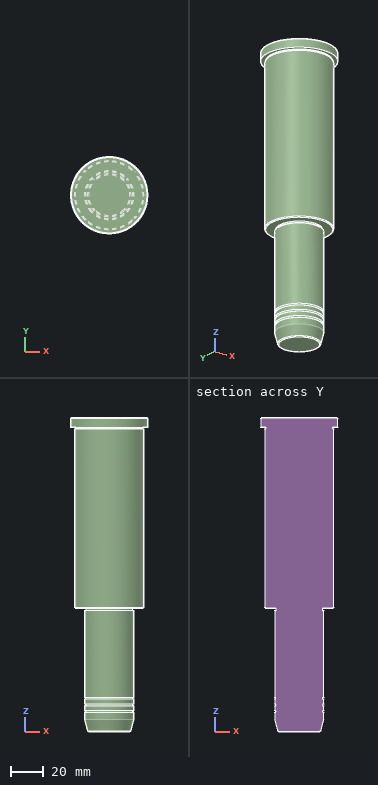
import cadquery as cq
import math

total_length = 191.0
head_height = 6.0
pin_length = 75.0
lead_in_length = 7.5

head_radius = 23.5
body_radius = 21.0
pin_diameter = 30.0
pin_radius = pin_diameter / 2
lead_in_angle = 15.0

head_relief_straight = 0.5
neck_height = 1.3
neck_depth = 0.8
head_chamfer = 0.5
body_chamfer = 0.5
tip_chamfer = 0.5

groove_count = 3
first_groove_z = 12.5
groove_pitch = 4.0
groove_radius = 0.5

head_bottom = total_length - head_height


def cylinder(radius, bottom, top):
    return cq.Workplane("XY").workplane(offset=bottom).circle(radius).extrude(top - bottom)


def ring_cut(outer_radius, depth, bottom, height):
    """Ring that removes a shallow groove from a cylinder."""
    top = bottom + height
    return cylinder(outer_radius, bottom, top).cut(cylinder(outer_radius - depth, bottom, top))


def round_groove(center_z):
    """Torus centred on the pin surface, which cuts a half-round groove."""
    section = cq.Workplane("XZ").center(pin_radius, center_z).circle(groove_radius)
    return section.revolve(360, (-pin_radius, 0), (-pin_radius, 1))


def make_head():
    head = cylinder(head_radius, head_bottom, total_length)
    return head.faces(">Z").edges().chamfer(head_chamfer)


def make_body():
    body = cylinder(body_radius, pin_length, head_bottom - head_relief_straight)
    body = body.faces("<Z or >Z").edges().chamfer(body_chamfer)
    relief = cylinder(body_radius - body_chamfer, pin_length, head_bottom)
    return body.union(relief)


def make_pin():
    tip_radius = pin_radius - lead_in_length * math.tan(math.radians(lead_in_angle))
    profile = [
        (0, 0),
        (tip_radius, 0),
        (pin_radius, lead_in_length),
        (pin_radius, pin_length),
        (0, pin_length),
    ]
    pin = cq.Workplane("XZ").polyline(profile).close().revolve(360, (0, 0), (0, 1))
    pin = pin.faces("<Z").edges().chamfer(tip_chamfer)
    pin = pin.cut(ring_cut(pin_radius, neck_depth, pin_length - neck_height, neck_height))
    for index in range(groove_count):
        pin = pin.cut(round_groove(first_groove_z + index * groove_pitch))
    return pin


result = make_head().union(make_body()).union(make_pin())